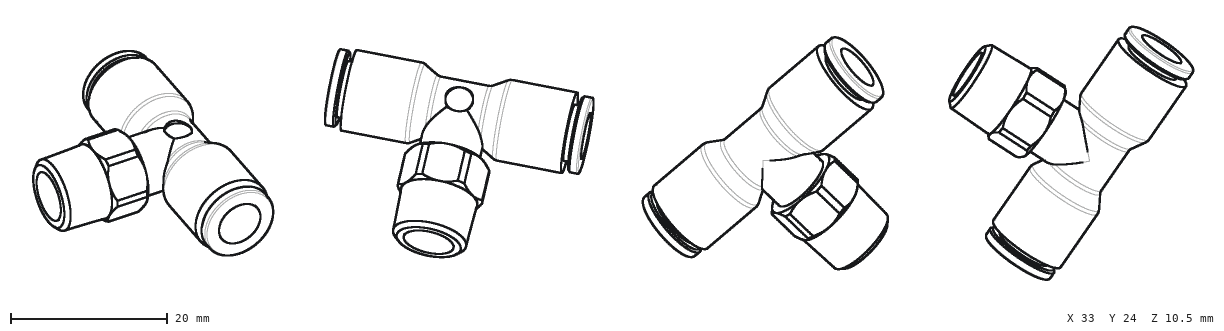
import cadquery as cq
import math


run_half_length = 16.5
tube_bore_d = 6.0
waist_d = 7.9
sleeve_d = 10.5
sleeve_end_x = 14.35
cone_start_x = 3.4
cone_angle = 30.0
blend_r = 1.0

collar_d = 9.9
collar_thickness = 1.35
collar_outer_round = 0.2
collar_inner_chamfer = 0.25
collar_neck_d = 7.33

branch_d = waist_d
hex_start = 7.0
hex_end = 12.28
branch_end = 18.75
branch_bore_d = 6.5

hex_across_flats = 10.0
hex_corner_d = 11.02
hex_chamfer = 0.5

thread_top_d = 9.93
thread_taper = 1 / 16
thread_chamfer = 0.6

recess_d = 3.55
recess_floor_z = 3.45


def revolve_about_x(profile):
    return profile.close().revolve(360, (0, 0, 0), (1, 0, 0))


def revolve_about_y(profile):
    return profile.close().revolve(360, (0, 0, 0), (0, 1, 0))


def make_arm():
    """Half of the run on the +X side: waist, blended cone, sleeve and collar."""
    waist_r = waist_d / 2
    sleeve_r = sleeve_d / 2
    collar_r = collar_d / 2
    neck_r = collar_neck_d / 2
    slope = math.radians(cone_angle)
    cone_end_x = cone_start_x + (sleeve_r - waist_r) / math.tan(slope)
    tangent = blend_r * math.tan(slope / 2)
    along_x = tangent * math.cos(slope)
    along_r = tangent * math.sin(slope)
    collar_x = run_half_length - collar_thickness

    profile = (
        cq.Workplane("XY")
        .lineTo(0, waist_r)
        .lineTo(cone_start_x - tangent, waist_r)
        .tangentArcPoint((cone_start_x + along_x, waist_r + along_r), relative=False)
        .lineTo(cone_end_x - along_x, sleeve_r - along_r)
        .tangentArcPoint((cone_end_x + tangent, sleeve_r), relative=False)
        .lineTo(sleeve_end_x, sleeve_r)
        .lineTo(sleeve_end_x, neck_r)
        .lineTo(collar_x, neck_r)
        .lineTo(collar_x, collar_r - collar_inner_chamfer)
        .lineTo(collar_x + collar_inner_chamfer, collar_r)
        .lineTo(run_half_length - collar_outer_round, collar_r)
        .tangentArcPoint((run_half_length, collar_r - collar_outer_round), relative=False)
        .lineTo(run_half_length, 0)
    )
    return revolve_about_x(profile)


def make_branch_pipe():
    """Plain round pipe from the crossing to the hexagon."""
    return cq.Workplane("XZ").circle(branch_d / 2).extrude(hex_start)


def make_hexagon():
    """Hexagon with two flats facing up and down, trimmed by a chamfered cylinder."""
    hex_length = hex_end - hex_start
    base = cq.Workplane("XZ", origin=(0, -hex_start, 0))
    sharp_corner_d = hex_across_flats / math.cos(math.radians(30))
    prism = base.polygon(6, sharp_corner_d).extrude(hex_length)
    envelope = base.circle(hex_corner_d / 2).extrude(hex_length).edges().chamfer(hex_chamfer)
    return prism.intersect(envelope)


def make_thread():
    """Tapered thread envelope with a chamfered tip, starting at the hexagon."""

    def taper_r(distance):
        return (thread_top_d - (distance - hex_end) * thread_taper) / 2

    chamfer_start = branch_end - thread_chamfer
    tip_r = taper_r(chamfer_start) - thread_chamfer
    profile = (
        cq.Workplane("XY")
        .moveTo(0, -hex_end)
        .lineTo(taper_r(hex_end), -hex_end)
        .lineTo(taper_r(chamfer_start), -chamfer_start)
        .lineTo(tip_r, -branch_end)
        .lineTo(0, -branch_end)
    )
    return revolve_about_y(profile)


def make_bores():
    """Straight bore through the run, and the branch bore that widens at the hexagon."""
    run_bore = cq.Workplane("YZ").circle(tube_bore_d / 2).extrude(run_half_length, both=True)
    inner_bore = cq.Workplane("XZ").circle(tube_bore_d / 2).extrude(hex_start)
    thread_bore = (
        cq.Workplane("XZ", origin=(0, -hex_start, 0))
        .circle(branch_bore_d / 2)
        .extrude(branch_end - hex_start)
    )
    return run_bore.union(inner_bore).union(thread_bore)


def make_recess():
    """Shallow flat-bottomed disc cut into the top of the crossing."""
    height = sleeve_d / 2 - recess_floor_z
    return cq.Workplane("XY", origin=(0, 0, recess_floor_z)).circle(recess_d / 2).extrude(height)


arm = make_arm()
outside = (
    arm.union(arm.mirror("YZ"))
    .union(make_branch_pipe())
    .union(make_hexagon())
    .union(make_thread())
)
result = outside.cut(make_bores()).cut(make_recess())